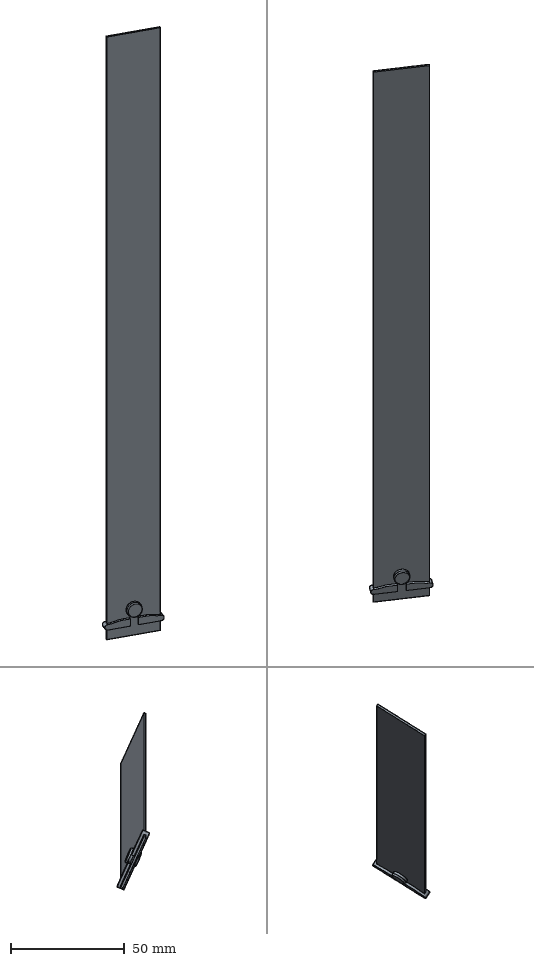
import cadquery as cq

blade_length = 300.0
blade_width = 25.2
blade_thickness = 0.95

boss_length = 5.0
boss_diameter = 7.2
boss_height = 13.2
boss_chamfer_radial = 0.3
boss_chamfer_axial = 1.0

clip_span = 28.0
clip_gap = 4.0
clip_thickness = 3.3
clip_bottom = 5.5
clip_end_height = 2.7
clip_inner_height = 3.5
clip_flat_span = 12.0
clip_shoulder_span = 24.0
clip_end_radius = 1.32


def make_blade_blank():
    return cq.Workplane("XY").box(
        blade_thickness, blade_width, blade_length, centered=(True, True, False)
    )


def make_boss():
    """Turned profile with a shallow cone at each end, lying along X."""
    radius = boss_diameter / 2
    tip_radius = radius - boss_chamfer_radial
    half_length = boss_length / 2
    half_cylinder = half_length - boss_chamfer_axial
    return (
        cq.Workplane("XY", origin=(0, 0, boss_height))
        .moveTo(-half_length, 0)
        .lineTo(-half_length, tip_radius)
        .lineTo(-half_cylinder, radius)
        .lineTo(half_cylinder, radius)
        .lineTo(half_length, tip_radius)
        .lineTo(half_length, 0)
        .close()
        .revolve(360, (0, 0, 0), (1, 0, 0))
    )


def make_clip(side):
    """One clip: level inner part, S-curved shoulder, rounded outer end."""
    outer = side * clip_span / 2
    inner = side * clip_gap / 2
    flat_end = side * clip_flat_span / 2
    shoulder_end = side * clip_shoulder_span / 2
    outward = (side, 0)
    outer_face = ">Y" if side > 0 else "<Y"
    return (
        cq.Workplane("YZ", origin=(-clip_thickness / 2, 0, clip_bottom))
        .moveTo(inner, 0)
        .lineTo(inner, clip_inner_height)
        .lineTo(flat_end, clip_inner_height)
        .spline([(shoulder_end, clip_end_height)], tangents=[outward, outward], includeCurrent=True)
        .lineTo(outer, clip_end_height)
        .lineTo(outer, 0)
        .close()
        .extrude(clip_thickness)
        .edges(f"|X and {outer_face}")
        .fillet(clip_end_radius)
        .cut(make_blade_blank())
    )


blade = make_blade_blank().union(make_boss())
clips = [make_clip(side) for side in (-1, 1)]

result = cq.Compound.makeCompound([blade.val(), *[clip.val() for clip in clips]])